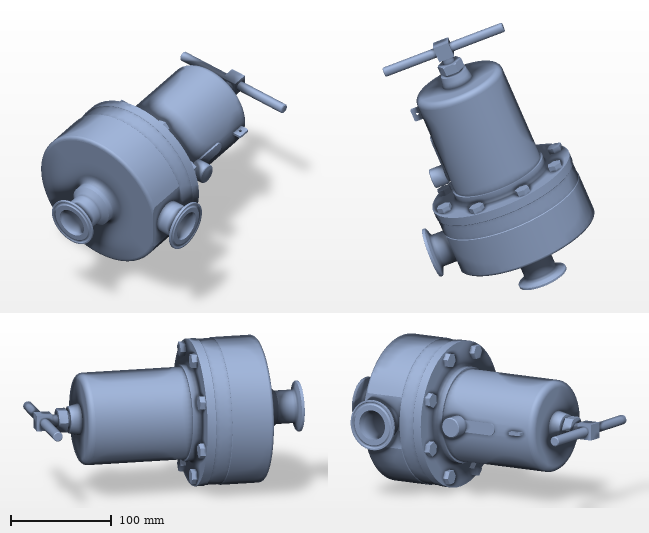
import cadquery as cq
import math

TOTAL_LENGTH = 269.0

FERRULE_RADIUS = 25.3
FERRULE_RIM = 2.7
FERRULE_BACK_ANGLE = math.radians(20)
FERRULE_BLEND = 2.3
PIPE_RADIUS = 16.7
BORE_RADIUS = 15.0
GROOVE_CENTER_RADIUS = 22.0
GROOVE_WIDTH = 3.2
GROOVE_DEPTH = 1.3
GROOVE_LIP = 0.3
FERRULE_CHAMFER = 0.5

CONE_START = 24.8
CONE_END = 31.0
NECK_RADIUS = 22.3
NECK_FILLET = 6.2

BODY_RADIUS = 73.5
BODY_BOTTOM = 42.5
BODY_TOP = 85.5
BODY_FILLET = 3.5
RIM_CHAMFER = 0.5
FLAT_X = 68.5
RING_RADIUS = 72.7
FLANGE_BOTTOM = 101.5
FLANGE_TOP = 111.0

OUTLET_FACE_X = 92.5
OUTLET_Y = 66.0

BOLT_COUNT = 8
BOLT_CIRCLE_RADIUS = 64.0
BOLT_HEAD_FLATS = 13.0
BOLT_HEAD_HEIGHT = 5.7
BOLT_HEAD_TURN = 4.0

COLLAR_RADIUS = 48.2
COLLAR_TOP = 119.8
COLLAR_FILLET = 3.0
BARREL_RADIUS = 46.0
BARREL_TOP = 224.7
BARREL_FILLET = 6.2

BOSS_BASE_RADIUS = 16.0
BOSS_TIP_RADIUS = 13.5
BOSS_TOP = 235.5
SHOULDER_RADIUS = 8.5
NUT_BOTTOM = 238.0
NUT_TOP = 247.0
NUT_FLATS = 22.0
NUT_CHAMFER = 1.0
STEM_RADIUS = 6.2

HANDLE_BLOCK = 16.0
HANDLE_LENGTH = 127.5
HANDLE_RADIUS = 4.8
HANDLE_CHAMFER = 0.8

PAD_FACE_X = 47.5
PAD_WIDTH = 12.0
PAD_LOW_CENTER = 136.0
PAD_HIGH_CENTER = 174.7
PORT_RADIUS = 10.0
PORT_END_X = 62.2
PORT_Y = 138.3
PORT_CHAMFER = 0.8
LUG_END_X = 55.0
LUG_Y = 208.0
LUG_WIDTH = 13.2
LUG_THICKNESS = 2.7
LUG_CORNER = 1.5
LUG_HOLE_X = 49.8
LUG_HOLE_RADIUS = 1.5


def disc(radius, bottom, top):
    """Cylinder on the main axis between two Y positions."""
    return cq.Workplane("XZ", origin=(0, bottom, 0)).circle(radius).extrude(bottom - top)


def x_cylinder(radius, start, end, y):
    """Cylinder parallel to X in the plane Z = 0."""
    return cq.Workplane("YZ", origin=(start, y, 0)).circle(radius).extrude(end - start)


def revolve_profile(profile):
    """Turn a closed XY outline about the Y axis."""
    return profile.close().revolve(360, (0, 0, 0), (0, 1, 0))


def ferrule_pipe(length):
    """Solid pipe stub along +Y with its clamp ferrule face at the origin."""
    sine = math.sin(FERRULE_BACK_ANGLE)
    cosine = math.cos(FERRULE_BACK_ANGLE)
    blend_center_x = PIPE_RADIUS + FERRULE_BLEND
    blend_start_x = blend_center_x - FERRULE_BLEND * sine
    blend_start_y = FERRULE_RIM + (FERRULE_RADIUS - blend_start_x) * sine / cosine
    rim_top = FERRULE_RIM + FERRULE_CHAMFER * sine / cosine
    blend_end_y = blend_start_y + FERRULE_BLEND * cosine
    middle = (math.pi / 2 - FERRULE_BACK_ANGLE) / 2
    blend_middle = (
        blend_center_x - FERRULE_BLEND * math.cos(middle),
        blend_end_y - FERRULE_BLEND * math.sin(middle),
    )
    pipe = revolve_profile(
        cq.Workplane("XY")
        .lineTo(FERRULE_RADIUS, 0)
        .lineTo(FERRULE_RADIUS, FERRULE_RIM - FERRULE_CHAMFER)
        .lineTo(FERRULE_RADIUS - FERRULE_CHAMFER, rim_top)
        .lineTo(blend_start_x, blend_start_y)
        .threePointArc(blend_middle, (PIPE_RADIUS, blend_end_y))
        .lineTo(PIPE_RADIUS, length)
        .lineTo(0, length)
    )
    groove = revolve_profile(
        cq.Workplane("XY")
        .moveTo(GROOVE_CENTER_RADIUS - GROOVE_WIDTH / 2, 0)
        .threePointArc(
            (GROOVE_CENTER_RADIUS, GROOVE_DEPTH),
            (GROOVE_CENTER_RADIUS + GROOVE_WIDTH / 2, 0),
        )
    )
    ferrule = pipe.cut(groove)
    for lip in (0, 1):
        lip_edge = cq.selectors.RadiusNthSelector(lip)
        ferrule = ferrule.faces("<Y").edges(lip_edge).fillet(GROOVE_LIP)
    return ferrule


def inlet_neck():
    """Cone widening from the inlet pipe, flared where it meets the body."""
    fillet_start = BODY_BOTTOM - NECK_FILLET
    fillet_inset = NECK_FILLET * (1 - math.sqrt(0.5))
    return revolve_profile(
        cq.Workplane("XY")
        .moveTo(0, CONE_START)
        .lineTo(PIPE_RADIUS, CONE_START)
        .lineTo(NECK_RADIUS, CONE_END)
        .lineTo(NECK_RADIUS, fillet_start)
        .threePointArc(
            (NECK_RADIUS + fillet_inset, BODY_BOTTOM - fillet_inset),
            (NECK_RADIUS + NECK_FILLET, BODY_BOTTOM),
        )
        .lineTo(0, BODY_BOTTOM)
    )


def valve_body():
    """Round body with both rims eased and a flat for the outlet."""
    body = disc(BODY_RADIUS, BODY_BOTTOM, BODY_TOP)
    body = body.faces("<Y").edges().fillet(BODY_FILLET)
    body = body.faces(">Y").edges().chamfer(RIM_CHAMFER)
    beyond_flat = cq.Workplane("XY").box(
        BODY_RADIUS, TOTAL_LENGTH, 2 * BODY_RADIUS, centered=(False, False, True)
    )
    return body.cut(beyond_flat.translate((FLAT_X, 0, 0)))


def flange():
    """Bolting flange with its lower rim broken."""
    return disc(BODY_RADIUS, FLANGE_BOTTOM, FLANGE_TOP).faces("<Y").edges().chamfer(RIM_CHAMFER)


def hexagon(flats, bottom, top):
    """Hexagonal prism on the main axis with two corners on the X axis."""
    across_corners = flats / math.cos(math.pi / 6)
    return (
        cq.Workplane("XZ", origin=(0, bottom, 0))
        .polygon(6, across_corners)
        .extrude(bottom - top)
    )


def flange_bolts():
    """Ring of bolt heads standing on the flange."""
    step = 360 / BOLT_COUNT
    head = hexagon(BOLT_HEAD_FLATS, FLANGE_TOP, FLANGE_TOP + BOLT_HEAD_HEIGHT)
    head = head.rotate((0, 0, 0), (0, 1, 0), -BOLT_HEAD_TURN)
    head = head.translate((BOLT_CIRCLE_RADIUS, 0, 0))
    bolts = cq.Workplane("XY")
    for index in range(BOLT_COUNT):
        bolts = bolts.add(head.rotate((0, 0, 0), (0, 1, 0), -step * (index + 0.5)))
    return bolts.combine()


def barrel():
    """Barrel with rounded top, foot collar and tapered boss."""
    shell = disc(BARREL_RADIUS, FLANGE_TOP, BARREL_TOP).faces(">Y").edges().fillet(BARREL_FILLET)
    inset = COLLAR_FILLET * (1 - math.sqrt(0.5))
    collar = revolve_profile(
        cq.Workplane("XY")
        .moveTo(0, FLANGE_TOP)
        .lineTo(COLLAR_RADIUS + COLLAR_FILLET, FLANGE_TOP)
        .threePointArc(
            (COLLAR_RADIUS + inset, FLANGE_TOP + inset),
            (COLLAR_RADIUS, FLANGE_TOP + COLLAR_FILLET),
        )
        .lineTo(COLLAR_RADIUS, COLLAR_TOP)
        .lineTo(0, COLLAR_TOP)
    )
    boss = revolve_profile(
        cq.Workplane("XY")
        .moveTo(0, BARREL_TOP)
        .lineTo(BOSS_BASE_RADIUS, BARREL_TOP)
        .lineTo(BOSS_TIP_RADIUS, BOSS_TOP)
        .lineTo(0, BOSS_TOP)
    )
    return shell.union(collar).union(boss)


def lock_nut():
    """Hexagon nut whose upper corners are turned off to a cone."""
    nut = hexagon(NUT_FLATS, NUT_BOTTOM, NUT_TOP)
    corner_radius = NUT_FLATS / 2 / math.cos(math.pi / 6)
    envelope = disc(corner_radius, NUT_BOTTOM, NUT_TOP).faces(">Y").edges().chamfer(NUT_CHAMFER)
    return nut.intersect(envelope)


def handle():
    """Stem, square block and round cross bar."""
    block_bottom = TOTAL_LENGTH - HANDLE_BLOCK
    center_y = TOTAL_LENGTH - HANDLE_BLOCK / 2
    stem = disc(STEM_RADIUS, NUT_TOP, block_bottom)
    block = cq.Workplane("XY").box(HANDLE_BLOCK, HANDLE_BLOCK, HANDLE_BLOCK)
    bar = x_cylinder(HANDLE_RADIUS, -HANDLE_LENGTH / 2, HANDLE_LENGTH / 2, center_y)
    bar = bar.faces("<X or >X").edges().chamfer(HANDLE_CHAMFER)
    return stem.union(block.translate((0, center_y, 0))).union(bar)


def side_pad_and_port():
    """Long round-ended pad on the barrel with a short round port on it."""
    pad_span = PAD_HIGH_CENTER - PAD_LOW_CENTER
    pad_center = (PAD_HIGH_CENTER + PAD_LOW_CENTER) / 2
    pad = (
        cq.Workplane("YZ", origin=(0, pad_center, 0))
        .slot2D(pad_span + PAD_WIDTH, PAD_WIDTH)
        .extrude(PAD_FACE_X)
    )
    port = x_cylinder(PORT_RADIUS, PAD_FACE_X, PORT_END_X, PORT_Y)
    return pad.union(port.faces(">X").edges().chamfer(PORT_CHAMFER))


def lug():
    """Thin tab with a cross hole near the top of the barrel."""
    tab = cq.Workplane("XY").box(
        LUG_END_X, LUG_WIDTH, LUG_THICKNESS, centered=(False, True, True)
    )
    tab = tab.edges("|Z and >X").fillet(LUG_CORNER)
    hole = (
        cq.Workplane("XY", origin=(LUG_HOLE_X, 0, 0))
        .circle(LUG_HOLE_RADIUS)
        .extrude(LUG_THICKNESS, both=True)
    )
    return tab.cut(hole).translate((0, LUG_Y, 0))


outlet = ferrule_pipe(OUTLET_FACE_X - FLAT_X).rotate((0, 0, 0), (0, 0, 1), 90)
outlet = outlet.translate((OUTLET_FACE_X, OUTLET_Y, 0))

valve = (
    valve_body()
    .union(disc(RING_RADIUS, BODY_TOP, FLANGE_BOTTOM))
    .union(flange())
    .union(inlet_neck())
    .union(ferrule_pipe(CONE_START))
    .union(outlet)
    .union(flange_bolts())
    .union(barrel())
    .union(side_pad_and_port())
    .union(lug())
    .union(disc(SHOULDER_RADIUS, BOSS_TOP, NUT_BOTTOM))
    .union(lock_nut())
    .union(handle())
)

inlet_bore = disc(BORE_RADIUS, 0, OUTLET_Y + BORE_RADIUS)
outlet_bore = x_cylinder(BORE_RADIUS, 0, OUTLET_FACE_X, OUTLET_Y)
result = valve.cut(inlet_bore).cut(outlet_bore)